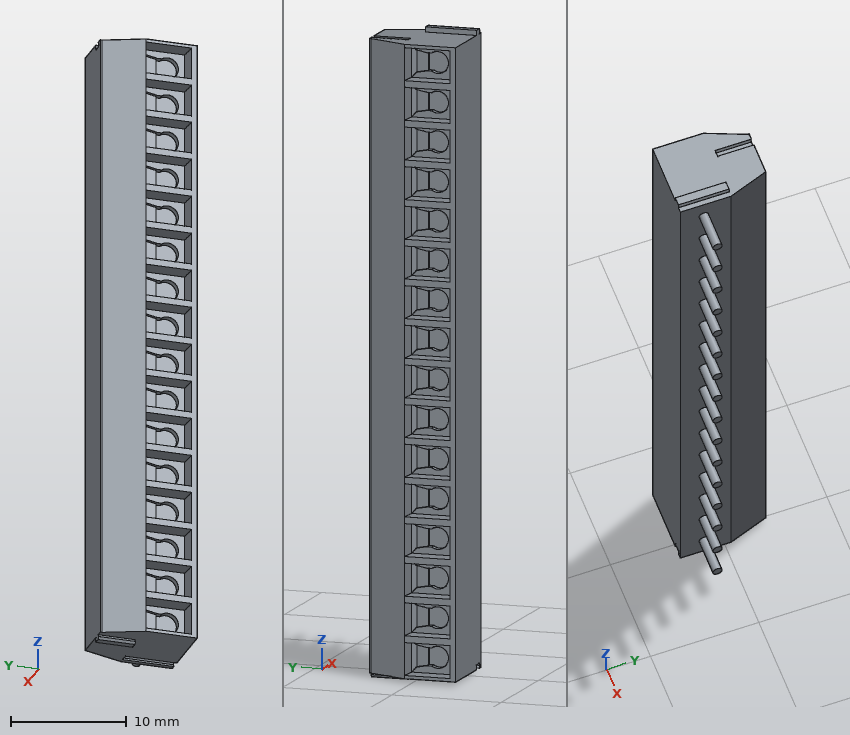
import cadquery as cq

POLES = 16
PITCH = 3.505
BODY_DEPTH = 6.9
BODY_WIDTH = 8.4
BODY_LENGTH = POLES * PITCH

SHOULDER_Y = 4.65
CROWN_X_MIN = 1.4
CROWN_X_MAX = 5.6
CROWN_LIP = 0.15

PIN_DIAMETER = 0.85
PIN_LENGTH = 3.4
WIRE_AXIS_Y = 2.15
POLE_OFFSET = PITCH / 2

POCKET_Y_MIN = 0.5
POCKET_HEIGHT = 2.9
POCKET_DEPTH = 1.6
POCKET_DRAFT = 0.1
FUNNEL_DEPTH = 0.3
FUNNEL_TOP_Y = SHOULDER_Y - POCKET_DRAFT
FUNNEL_FLOOR_Y = 4.15
FUNNEL_FLOOR_HEIGHT = 2.0
THROAT_Y = 3.15
THROAT_HEIGHT = 1.6
HOLE_DIAMETER = 1.95
HOLE_DEPTH = 0.55

RAIL_HEIGHT = 0.45
RAIL_WIDE = 0.9
RAIL_BULGE = 0.14
FRONT_RAIL_X = 5.65
FRONT_RAIL_LENGTH = SHOULDER_Y
REAR_RAIL_X = 1.9
REAR_RAIL_LENGTH = 3.35


def make_body():
    """Block standing on Z = 0 that tapers toward +Y, with a small upright lip at the crown."""
    outline = [
        (0, 0),
        (BODY_DEPTH, 0),
        (BODY_DEPTH, SHOULDER_Y),
        (CROWN_X_MAX, BODY_WIDTH),
        (CROWN_X_MIN, BODY_WIDTH),
        (CROWN_X_MIN, BODY_WIDTH - CROWN_LIP),
        (0, SHOULDER_Y),
    ]
    return cq.Workplane("XY").polyline(outline).close().extrude(BODY_LENGTH)


def rail(section, y_start, length):
    """Prism along +Y with the given XZ section."""
    plane = cq.Workplane("XZ", origin=(0, y_start, 0))
    return plane.polyline(section).close().extrude(-length)


def front_rail(z):
    """Rail that stands on z, upright on the -X side and bulging on the +X side."""
    x_max = FRONT_RAIL_X + RAIL_WIDE
    section = [
        (FRONT_RAIL_X, z),
        (x_max - RAIL_BULGE, z),
        (x_max, z + RAIL_HEIGHT / 2),
        (x_max - RAIL_BULGE, z + RAIL_HEIGHT),
        (FRONT_RAIL_X, z + RAIL_HEIGHT),
    ]
    return rail(section, 0, FRONT_RAIL_LENGTH)


def rear_rail(z):
    """Barrel-shaped rail that hangs below z and bulges on both sides."""
    x_max = REAR_RAIL_X + RAIL_WIDE
    section = [
        (REAR_RAIL_X + RAIL_BULGE, z),
        (x_max - RAIL_BULGE, z),
        (x_max, z - RAIL_HEIGHT / 2),
        (x_max - RAIL_BULGE, z - RAIL_HEIGHT),
        (REAR_RAIL_X + RAIL_BULGE, z - RAIL_HEIGHT),
        (REAR_RAIL_X, z - RAIL_HEIGHT / 2),
    ]
    return rail(section, BODY_WIDTH - REAR_RAIL_LENGTH, REAR_RAIL_LENGTH)


def solder_pin(z):
    """Round pin on the wire axis that leaves the +X face at height z."""
    plane = cq.Workplane("YZ", origin=(BODY_DEPTH, WIRE_AXIS_Y, z))
    return plane.circle(PIN_DIAMETER / 2).extrude(PIN_LENGTH)


def profile_slab(profile, height, z):
    """Slab with the given XY profile, centred on height z."""
    return cq.Workplane("XY", origin=(0, 0, z)).polyline(profile).close().extrude(height / 2, both=True)


def wire_entry(z):
    """Cutter for one pole: pocket, sloped funnel leading to the throat, and the round hole."""
    pocket_profile = [
        (0, POCKET_Y_MIN),
        (0, SHOULDER_Y),
        (POCKET_DEPTH, SHOULDER_Y - POCKET_DRAFT),
        (POCKET_DEPTH, POCKET_Y_MIN + POCKET_DRAFT),
    ]
    pocket = profile_slab(pocket_profile, POCKET_HEIGHT, z)

    funnel_floor_x = POCKET_DEPTH + FUNNEL_DEPTH
    funnel_profile = [
        (POCKET_DEPTH, THROAT_Y),
        (POCKET_DEPTH, FUNNEL_TOP_Y),
        (funnel_floor_x, FUNNEL_FLOOR_Y),
        (funnel_floor_x, THROAT_Y),
    ]
    funnel = profile_slab(funnel_profile, POCKET_HEIGHT, z)
    funnel_outline = [
        (THROAT_Y, -THROAT_HEIGHT / 2),
        (FUNNEL_FLOOR_Y, -FUNNEL_FLOOR_HEIGHT / 2),
        (FUNNEL_TOP_Y, -POCKET_HEIGHT / 2),
        (FUNNEL_TOP_Y, POCKET_HEIGHT / 2),
        (FUNNEL_FLOOR_Y, FUNNEL_FLOOR_HEIGHT / 2),
        (THROAT_Y, THROAT_HEIGHT / 2),
    ]
    floor_plane = cq.Workplane("YZ", origin=(POCKET_DEPTH, 0, z))
    funnel = funnel.intersect(floor_plane.polyline(funnel_outline).close().extrude(FUNNEL_DEPTH))

    hole = floor_plane.center(WIRE_AXIS_Y, 0).circle(HOLE_DIAMETER / 2).extrude(HOLE_DEPTH)
    throat = cq.Workplane("XY").box(
        HOLE_DEPTH, THROAT_Y - WIRE_AXIS_Y, THROAT_HEIGHT, centered=(False, False, True)
    )
    throat = throat.translate((POCKET_DEPTH, WIRE_AXIS_Y, z))
    return pocket.union(funnel).union(hole).union(throat)


result = make_body()
result = result.cut(front_rail(0)).cut(rear_rail(BODY_LENGTH))
result = result.union(front_rail(BODY_LENGTH)).union(rear_rail(0))
for pole in range(POLES):
    pole_z = POLE_OFFSET + pole * PITCH
    result = result.union(solder_pin(pole_z)).cut(wire_entry(pole_z))